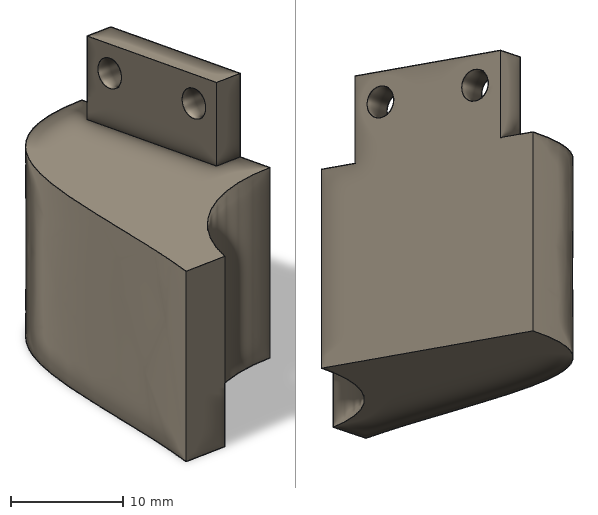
import cadquery as cq

length = 35.0
depth = 23.0
back_width = 23.25
end_face_start = -18.02
total_height = 26.3
tab_height = 8.0
body_height = total_height - tab_height

front_left_control = (0.0, -17.68)
front_right_control = (17.15, -16.8)
hollow_mid_point = (26.6, -11.15)

tab_left = 3.57
tab_width = 16.0
tab_thickness = 3.05
hole_diameter = 2.9
hole_inset = 2.8


def make_body():
    """Plate with an S-shaped front side and a hollow arc on the right."""
    front_corner = (length, -depth)
    return (
        cq.Workplane("XY")
        .moveTo(0, 0)
        .bezier([(0, 0), front_left_control, front_right_control, front_corner])
        .lineTo(length, end_face_start)
        .threePointArc(hollow_mid_point, (back_width, 0))
        .close()
        .extrude(body_height)
    )


def make_tab():
    """Upright block, begun at the base so that it joins the body fully."""
    return cq.Workplane("XY").box(
        tab_width, tab_thickness, total_height, centered=False
    ).translate((tab_left, -tab_thickness, 0))


def make_holes():
    """Two through holes along Y, equally inset from the tab's top corners."""
    hole_height = total_height - hole_inset
    left_hole = (tab_left + hole_inset, hole_height)
    right_hole = (tab_left + tab_width - hole_inset, hole_height)
    return (
        cq.Workplane("XZ")
        .pushPoints([left_hole, right_hole])
        .circle(hole_diameter / 2)
        .extrude(tab_thickness)
    )


result = make_body().union(make_tab()).cut(make_holes())